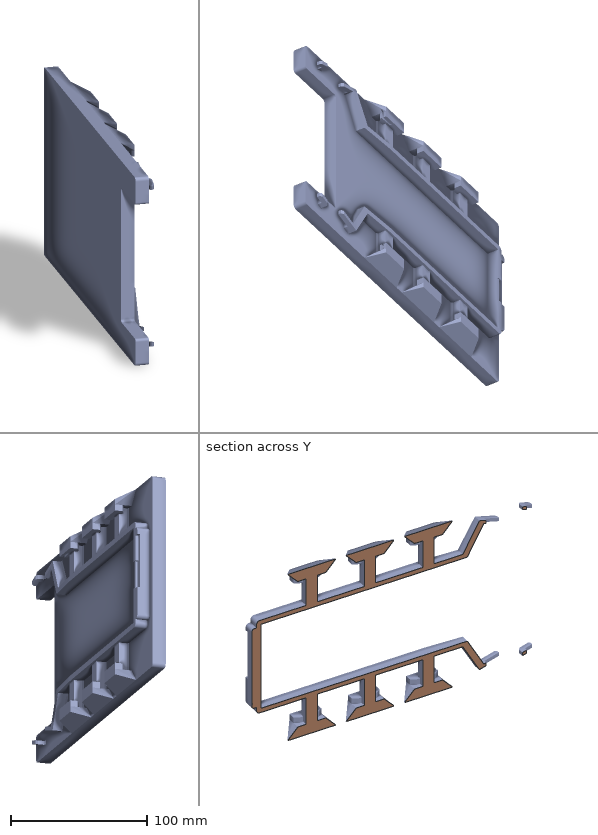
import cadquery as cq
import math

PLATE_LENGTH = 259.5
PLATE_HEIGHT = 146.0
PLATE_THICKNESS = 10.2
PLATE_CORNER_RADIUS = 2.6
CUTOUT_START_X = 218.5
CUTOUT_HEIGHT = 104.0
CUTOUT_CORNER_RADIUS = 2.0

LUG_TOP_Y = 23.0
LUG_FIRST_X = 58.7
LUG_PITCH = 50.0
LUG_COUNT = 3
LUG_BASE_WIDTH = 43.4
LUG_TOP_WIDTH = 24.0
LUG_OUTER_Z = PLATE_HEIGHT / 2
LUG_TOP_OUTER_Z = 67.2
LUG_INNER_Z = 63.0
LIP_INNER_Z = 58.3
LIP_BOTTOM_Y = 15.0
LIP_BEVEL_HEIGHT = 2.4
LIP_BEVEL_RUN = 4.0

FRAME_TOP_Y = 19.6
FRAME_FRONT_X = 11.2
FRAME_HALF_HEIGHT = 40.3
FRAME_CORNER_RADIUS = 3.0
WALL = 4.0
FRAME_NOTCH_Y = 18.9
FRAME_NOTCH_HALF_HEIGHT = 10.2

STRIP_HALF_HEIGHT = 34.8
STRIP_CORNER_RADIUS = 2.5
STRIP_NOTCH_Y = 17.4
STRIP_NOTCH_BOTTOM_Z = -11.2
STRIP_NOTCH_TOP_Z = 29.3

FLARE_START_X = 188.0
FLARE_END_X = 202.2
FLARE_ANGLE = 60.0
SLOPE_START_X = 160.0
HOOK_TOP_Y = 17.4

HOOK_ARM_BOTTOM_Y = 13.6
HOOK_CHAMFER = 1.5
HOOK_FACE_ANGLE = 15.0
HOOK_WIDTH = 3.0
INNER_HOOK_STEM = 6.0
INNER_HOOK_LENGTH = 18.3
OUTER_HOOK_X = 239.0
OUTER_HOOK_STEM = 4.0
OUTER_HOOK_LENGTH = 10.0

RIB_WIDTH = 10.0
RIB_TOP_Y = 17.7

FOOT_SIZE = 1.2
EMBED = 1.0
FLARE_END_Z = FRAME_HALF_HEIGHT + (FLARE_END_X - FLARE_START_X) * math.tan(math.radians(FLARE_ANGLE))


def box(x_range, y_range, z_range):
    """Box spanning the given pairs of limits."""
    spans = [high - low for low, high in (x_range, y_range, z_range)]
    origin = (x_range[0], y_range[0], z_range[0])
    return cq.Workplane("XY").box(*spans, centered=False).translate(origin)


def extrude_plan(points, y_bottom, y_top):
    """Extrude an outline of (X, Z) points from y_bottom to y_top."""
    plane = cq.Plane(origin=(0, y_bottom, 0), xDir=(1, 0, 0), normal=(0, -1, 0))
    return cq.Workplane(plane).polyline(points).close().extrude(y_bottom - y_top)


def extrude_profile(points, z_bottom, z_top):
    """Extrude an outline of (X, Y) points from z_bottom to z_top."""
    return cq.Workplane("XY", origin=(0, 0, z_bottom)).polyline(points).close().extrude(z_top - z_bottom)


def make_plate():
    half = PLATE_HEIGHT / 2
    plate = box((0, PLATE_LENGTH), (0, PLATE_THICKNESS), (-half, half))
    plate = plate.edges("|Y").fillet(PLATE_CORNER_RADIUS)
    half_cutout = CUTOUT_HEIGHT / 2
    plate = plate.cut(
        box((CUTOUT_START_X, PLATE_LENGTH), (0, PLATE_THICKNESS), (-half_cutout, half_cutout))
    )
    cutout_corners = cq.selectors.BoxSelector(
        (CUTOUT_START_X - 1, -1, -half_cutout - 1),
        (PLATE_LENGTH + 1, PLATE_THICKNESS + 1, half_cutout + 1),
    )
    return plate.edges("|Y").edges(cutout_corners).fillet(CUTOUT_CORNER_RADIUS)


def make_lug(center_x):
    """Wedge with tapered flanks, and the lip below its top, on the upper edge."""
    half_base = LUG_BASE_WIDTH / 2
    half_top = LUG_TOP_WIDTH / 2
    flanks = extrude_profile(
        [
            (center_x - half_base, PLATE_THICKNESS),
            (center_x + half_base, PLATE_THICKNESS),
            (center_x + half_top, LUG_TOP_Y),
            (center_x - half_top, LUG_TOP_Y),
        ],
        LUG_INNER_Z,
        LUG_OUTER_Z,
    )
    inner_taper = extrude_plan(
        [
            (center_x - half_base, LUG_OUTER_Z),
            (center_x + half_base, LUG_OUTER_Z),
            (center_x + half_top, LUG_INNER_Z),
            (center_x - half_top, LUG_INNER_Z),
        ],
        PLATE_THICKNESS,
        LUG_TOP_Y,
    )
    slope = (
        cq.Workplane("YZ", origin=(center_x - half_base, 0, 0))
        .polyline(
            [
                (PLATE_THICKNESS, LUG_INNER_Z),
                (PLATE_THICKNESS, LUG_OUTER_Z),
                (LUG_TOP_Y, LUG_TOP_OUTER_Z),
                (LUG_TOP_Y, LUG_INNER_Z),
            ]
        )
        .close()
        .extrude(LUG_BASE_WIDTH)
    )
    wedge = flanks.intersect(inner_taper).intersect(slope)

    bevel_top_y = LIP_BOTTOM_Y + LIP_BEVEL_HEIGHT
    half_bottom = half_top - LIP_BEVEL_RUN
    lip = extrude_profile(
        [
            (center_x - half_bottom, LIP_BOTTOM_Y),
            (center_x + half_bottom, LIP_BOTTOM_Y),
            (center_x + half_top, bevel_top_y),
            (center_x + half_top, LUG_TOP_Y),
            (center_x - half_top, LUG_TOP_Y),
            (center_x - half_top, bevel_top_y),
        ],
        LIP_INNER_Z,
        LUG_INNER_Z,
    )
    return wedge.union(lip)


def make_rib(center_x):
    """Rib with chamfered foot, from the frame wall to the upper lug."""
    half = RIB_WIDTH / 2
    half_foot = half + FOOT_SIZE
    foot_top_y = PLATE_THICKNESS + FOOT_SIZE
    profile = [
        (center_x - half_foot, PLATE_THICKNESS),
        (center_x + half_foot, PLATE_THICKNESS),
        (center_x + half, foot_top_y),
        (center_x + half, RIB_TOP_Y),
        (center_x - half, RIB_TOP_Y),
        (center_x - half, foot_top_y),
    ]
    return extrude_profile(profile, FRAME_HALF_HEIGHT - WALL, LUG_INNER_Z)


def make_frame():
    """Cross wall with a stepped notch at the front, joined to two side walls open at the far end."""
    y_range = (PLATE_THICKNESS - EMBED, FRAME_TOP_Y)
    half = FRAME_HALF_HEIGHT
    frame = box((FRAME_FRONT_X, FLARE_START_X), y_range, (-half, half))
    frame = frame.edges("|Y and <X").fillet(FRAME_CORNER_RADIUS)
    inner_half = half - WALL
    frame = frame.cut(box((FRAME_FRONT_X + WALL, FLARE_START_X), y_range, (-inner_half, inner_half)))
    notch_z = (-FRAME_NOTCH_HALF_HEIGHT, FRAME_NOTCH_HALF_HEIGHT)
    mid_x = FRAME_FRONT_X + WALL / 2
    deep_notch = box((FRAME_FRONT_X, mid_x), (STRIP_NOTCH_Y, FRAME_TOP_Y), notch_z)
    shallow_notch = box((mid_x, FRAME_FRONT_X + WALL), (FRAME_NOTCH_Y, FRAME_TOP_Y), notch_z)
    return frame.cut(deep_notch).cut(shallow_notch)


def make_strip():
    """Narrower strip against the front of the frame, with one long notch."""
    x_range = (FRAME_FRONT_X - WALL, FRAME_FRONT_X)
    y_range = (PLATE_THICKNESS - EMBED, FRAME_TOP_Y)
    strip = box(x_range, y_range, (-STRIP_HALF_HEIGHT, STRIP_HALF_HEIGHT))
    strip = strip.edges("|Y and <X").fillet(STRIP_CORNER_RADIUS)
    return strip.cut(
        box(x_range, (STRIP_NOTCH_Y, FRAME_TOP_Y), (STRIP_NOTCH_BOTTOM_Z, STRIP_NOTCH_TOP_Z))
    )


def make_flare():
    """Wall with chamfered foot, leading from the upper side wall outwards to the inner hook."""
    plan = [
        (FLARE_START_X, FRAME_HALF_HEIGHT),
        (FLARE_END_X, FLARE_END_Z),
        (FLARE_END_X + WALL, FLARE_END_Z - WALL),
        (FLARE_START_X + WALL, FRAME_HALF_HEIGHT - WALL),
        (FLARE_START_X, FRAME_HALF_HEIGHT - WALL),
    ]
    wall = extrude_plan(plan, PLATE_THICKNESS - EMBED, FRAME_TOP_Y)

    angle = math.radians(FLARE_ANGLE)
    foot_setback = FOOT_SIZE * math.tan(angle)
    foot_length = (FLARE_END_X - FLARE_START_X) / math.cos(angle) - foot_setback
    foot_plane = cq.Plane(
        origin=(
            FLARE_START_X + foot_setback * math.cos(angle),
            PLATE_THICKNESS,
            FRAME_HALF_HEIGHT + foot_setback * math.sin(angle),
        ),
        xDir=(-math.sin(angle), 0, math.cos(angle)),
        normal=(math.cos(angle), 0, math.sin(angle)),
    )
    foot_height = FOOT_SIZE * foot_plane.yDir.y
    foot = cq.Workplane(foot_plane).polyline([(0, 0), (FOOT_SIZE, 0), (0, foot_height)]).close()
    return wall.union(foot.extrude(foot_length))


def make_slope_cutter():
    """Everything above the sloping top of the side walls and flares."""
    clear_y = FRAME_TOP_Y + EMBED
    profile = [
        (SLOPE_START_X, FRAME_TOP_Y),
        (FLARE_END_X, HOOK_TOP_Y),
        (FLARE_END_X + WALL, HOOK_TOP_Y),
        (FLARE_END_X + WALL, clear_y),
        (SLOPE_START_X, clear_y),
    ]
    return extrude_profile(profile, -FLARE_END_Z, FLARE_END_Z)


def make_hook(start_x, stem, length, free_heel):
    """Stem and overhanging arm whose outer face slants inwards towards the free end.

    A hook with a free heel has a chamfered top and a chamfered foot on its stem side.
    """
    end_x = start_x + length
    drop = length * math.tan(math.radians(HOOK_FACE_ANGLE))
    plan = extrude_plan(
        [
            (start_x, FLARE_END_Z),
            (end_x, FLARE_END_Z - drop),
            (end_x, FLARE_END_Z - drop - HOOK_WIDTH),
            (start_x, FLARE_END_Z - HOOK_WIDTH),
        ],
        PLATE_THICKNESS - EMBED,
        HOOK_TOP_Y,
    )
    under_arm = box(
        (start_x + stem, end_x),
        (PLATE_THICKNESS - EMBED, HOOK_ARM_BOTTOM_Y),
        (FLARE_END_Z - drop - HOOK_WIDTH, FLARE_END_Z),
    )
    hook = plan.cut(under_arm)
    hook = hook.faces(">X").edges(">Y").chamfer(HOOK_CHAMFER)
    if free_heel:
        hook = hook.faces("<X").edges(">Y").chamfer(HOOK_CHAMFER)
        foot_profile = [
            (start_x, PLATE_THICKNESS),
            (start_x - FOOT_SIZE, PLATE_THICKNESS),
            (start_x, PLATE_THICKNESS + FOOT_SIZE),
        ]
        hook = hook.union(extrude_profile(foot_profile, FLARE_END_Z - HOOK_WIDTH, FLARE_END_Z))
    return hook


upper_half = make_flare()
upper_half = upper_half.union(make_hook(FLARE_END_X, INNER_HOOK_STEM, INNER_HOOK_LENGTH, free_heel=False))
upper_half = upper_half.union(make_hook(OUTER_HOOK_X, OUTER_HOOK_STEM, OUTER_HOOK_LENGTH, free_heel=True))
for index in range(LUG_COUNT):
    lug_x = LUG_FIRST_X + index * LUG_PITCH
    upper_half = upper_half.union(make_lug(lug_x)).union(make_rib(lug_x))

result = make_plate().union(make_frame()).union(make_strip())
result = result.union(upper_half).union(upper_half.mirror("XY"))
result = result.cut(make_slope_cutter())